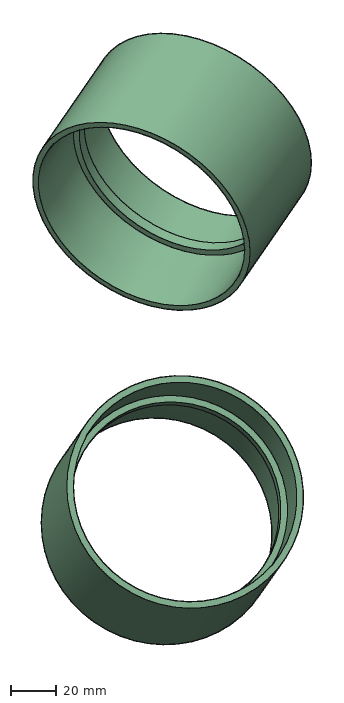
import cadquery as cq

length = 63.0
outer_radius = 106 / 2
mouth_radius = 100.6 / 2
stop_radius = 94.0 / 2
rear_radius = 100.0 / 2
seat_radius = rear_radius

socket_depth = 35.1
stop_end = 40.2

front = -length / 2
back = front + length

half_section = [
    (outer_radius, front),
    (outer_radius, back),
    (rear_radius, back),
    (rear_radius, front + stop_end),
    (stop_radius, front + stop_end),
    (stop_radius, front + socket_depth),
    (seat_radius, front + socket_depth),
    (mouth_radius, front),
]

result = cq.Workplane("XY").polyline(half_section).close().revolve(360, (0, 0, 0), (0, 1, 0))